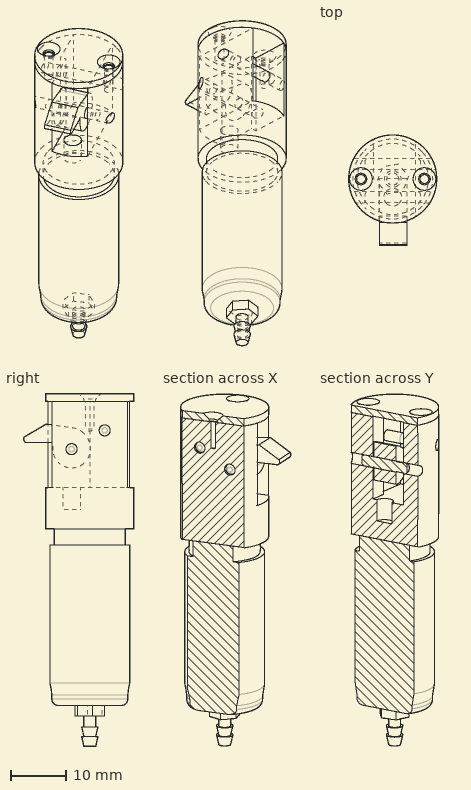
import cadquery as cq
import math


CAP_BOTTOM = -1.4
WINDOW_FLOOR = -17.0
HOUSING_BOTTOM = -24.5
GRIP_TOP = -27.4
TAPER_TOP = -52.4
TAPER_BOTTOM = -54.6
GRIP_BOTTOM = -56.5
HEX_BOTTOM = -58.4
UPPER_BARB_TOP = -60.35
LOWER_BARB_TOP = -62.1
BARB_BOTTOM = -63.9

HOUSING_RADIUS = 8.0
WINDOW_LEFT = -2.45
WINDOW_RIGHT = 4.1
REAR_SLOT_LEFT = -3.5
PLUNGER_HOLE_DIAMETER = 3.2
PLUNGER_HOLE_DEPTH = 4.0

SCREW_OFFSET = 5.75
COUNTERSINK_DIAMETER = 4.1
COUNTERSINK_ANGLE = 90
CLEARANCE_DIAMETER = 2.1
TAP_DIAMETER = 1.6
TAP_DEPTH = 5.0
DRILL_POINT_ANGLE = 118

PIVOT_Y, PIVOT_Z = -3.3, -10.05
STOP_Y, STOP_Z = 2.7, -6.65
PIN_AXES = [(PIVOT_Y, PIVOT_Z), (STOP_Y, STOP_Z)]
PIN_RADIUS = 1.0
PIN_LENGTH = 10.0
PIN_END_FILLET = 0.5

LEVER_LEFT = -2.4
LEVER_WIDTH = 5.0
HUB_RADIUS = 3.4
REAR_FILLET = 3.8
RAMP_TOP_Y, RAMP_TOP_Z = -7.9, -5.5
RAMP_END_Y, RAMP_END_Z = -11.85, -7.82
TIP_Y, TIP_Z = -12.0, -8.25
ARM_BOTTOM_Y, ARM_BOTTOM_Z = -11.6, -8.85
TOP_FACE_TILT = 8

NECK_RADIUS = 6.45
GRIP_RADIUS = 7.25
GRIP_END_RADIUS = 6.9
GRIP_END_FILLET = 1.2

HEX_ACROSS_FLATS = 5.0
HEX_TURN = 9
STEM_RADIUS = 1.1
BARB_RADIUS = 1.5


def cylinder(radius, bottom, top):
    """Cylinder on the tool axis between two levels."""
    return cq.Workplane("XY").workplane(offset=bottom).circle(radius).extrude(top - bottom)


def cone_frustum(top_radius, bottom_radius, top, bottom):
    """Cone on the tool axis that goes from one radius to another."""
    profile = [(0, top), (top_radius, top), (bottom_radius, bottom), (0, bottom)]
    return cq.Workplane("XZ").polyline(profile).close().revolve(360, (0, 0), (0, 1))


def block(x_min, x_max, y_min, y_max, z_min, z_max):
    """Box between two opposite corners."""
    box = cq.Workplane("XY").box(x_max - x_min, y_max - y_min, z_max - z_min, centered=False)
    return box.translate((x_min, y_min, z_min))


def cross_pin(y, z):
    """Rounded-end pin parallel to X."""
    pin = cq.Workplane("YZ").circle(PIN_RADIUS).extrude(PIN_LENGTH / 2, both=True)
    return pin.faces("<X or >X").edges().fillet(PIN_END_FILLET).translate((0, y, z))


def cross_hole(y, z):
    """Cutter for a pin hole right through the housing and lever."""
    hole = cq.Workplane("YZ").circle(PIN_RADIUS).extrude(HOUSING_RADIUS, both=True)
    return hole.translate((0, y, z))


def tap_drill():
    """Cutter for a blind drilled hole with a conical bottom, starting under the cap."""
    radius = TAP_DIAMETER / 2
    bottom = CAP_BOTTOM - TAP_DEPTH
    point_depth = radius / math.tan(math.radians(DRILL_POINT_ANGLE / 2))
    shank = cylinder(radius, bottom, CAP_BOTTOM)
    point_profile = [(0, bottom), (radius, bottom), (0, bottom - point_depth)]
    point = cq.Workplane("XZ").polyline(point_profile).close().revolve(360, (0, 0), (0, 1))
    return shank.union(point)


def make_housing():
    housing = cylinder(HOUSING_RADIUS, HOUSING_BOTTOM, CAP_BOTTOM)
    housing = housing.cut(
        block(WINDOW_LEFT, WINDOW_RIGHT, -HOUSING_RADIUS, 0, WINDOW_FLOOR, CAP_BOTTOM)
    )
    housing = housing.cut(
        block(REAR_SLOT_LEFT, WINDOW_RIGHT, 0, HOUSING_RADIUS, WINDOW_FLOOR, CAP_BOTTOM)
    )
    plunger_hole = cylinder(PLUNGER_HOLE_DIAMETER / 2, WINDOW_FLOOR - PLUNGER_HOLE_DEPTH, WINDOW_FLOOR)
    housing = housing.cut(plunger_hole.translate((0, PIVOT_Y, 0)))
    for y, z in PIN_AXES:
        housing = housing.cut(cross_hole(y, z))
    for x in (-SCREW_OFFSET, SCREW_OFFSET):
        housing = housing.cut(tap_drill().translate((x, 0, 0)))
    return housing


def make_cap():
    return (
        cylinder(HOUSING_RADIUS, CAP_BOTTOM, 0)
        .faces(">Z")
        .workplane(origin=(0, 0, 0))
        .pushPoints([(-SCREW_OFFSET, 0), (SCREW_OFFSET, 0)])
        .cskHole(CLEARANCE_DIAMETER, COUNTERSINK_DIAMETER, COUNTERSINK_ANGLE)
    )


def make_lever():
    hub_front = PIVOT_Y - HUB_RADIUS
    hub_rear = PIVOT_Y + HUB_RADIUS
    rear_top_z = RAMP_TOP_Z - (hub_rear - RAMP_TOP_Y) * math.tan(math.radians(TOP_FACE_TILT))
    lever = (
        cq.Workplane("YZ")
        .workplane(offset=LEVER_LEFT)
        .moveTo(RAMP_TOP_Y, RAMP_TOP_Z)
        .lineTo(RAMP_END_Y, RAMP_END_Z)
        .threePointArc((TIP_Y, TIP_Z), (ARM_BOTTOM_Y, ARM_BOTTOM_Z))
        .lineTo(hub_front, ARM_BOTTOM_Z)
        .lineTo(hub_front, PIVOT_Z)
        .threePointArc((PIVOT_Y, PIVOT_Z - HUB_RADIUS), (hub_rear, PIVOT_Z))
        .lineTo(hub_rear, rear_top_z)
        .close()
        .extrude(LEVER_WIDTH)
    )
    rear_top_corner = cq.selectors.NearestToPointSelector(
        (LEVER_LEFT + LEVER_WIDTH / 2, hub_rear, rear_top_z)
    )
    lever = lever.edges(rear_top_corner).fillet(REAR_FILLET)
    return lever.cut(cross_hole(PIVOT_Y, PIVOT_Z))


def make_grip():
    end_cap = cylinder(GRIP_END_RADIUS, GRIP_BOTTOM, TAPER_BOTTOM)
    end_cap = end_cap.faces("<Z").edges().fillet(GRIP_END_FILLET)
    return (
        cylinder(NECK_RADIUS, GRIP_TOP, HOUSING_BOTTOM)
        .union(cylinder(GRIP_RADIUS, TAPER_TOP, GRIP_TOP))
        .union(cone_frustum(GRIP_RADIUS, GRIP_END_RADIUS, TAPER_TOP, TAPER_BOTTOM))
        .union(end_cap)
    )


def make_fitting():
    hex_across_corners = HEX_ACROSS_FLATS / math.cos(math.radians(30))
    fitting = (
        cq.Workplane("XY")
        .workplane(offset=HEX_BOTTOM)
        .polygon(6, hex_across_corners)
        .extrude(GRIP_BOTTOM - HEX_BOTTOM)
        .rotate((0, 0, 0), (0, 0, 1), HEX_TURN)
    )
    return (
        fitting.union(cylinder(STEM_RADIUS, UPPER_BARB_TOP, HEX_BOTTOM))
        .union(cone_frustum(BARB_RADIUS, STEM_RADIUS, UPPER_BARB_TOP, LOWER_BARB_TOP))
        .union(cone_frustum(BARB_RADIUS, STEM_RADIUS, LOWER_BARB_TOP, BARB_BOTTOM))
    )


housing = make_housing()
cap = make_cap()
lever = make_lever()
pins = [cross_pin(y, z) for y, z in PIN_AXES]
grip = make_grip()
fitting = make_fitting()

result = cq.Compound.makeCompound(
    [housing.val(), cap.val(), lever.val(), *[pin.val() for pin in pins], grip.val(), fitting.val()]
)